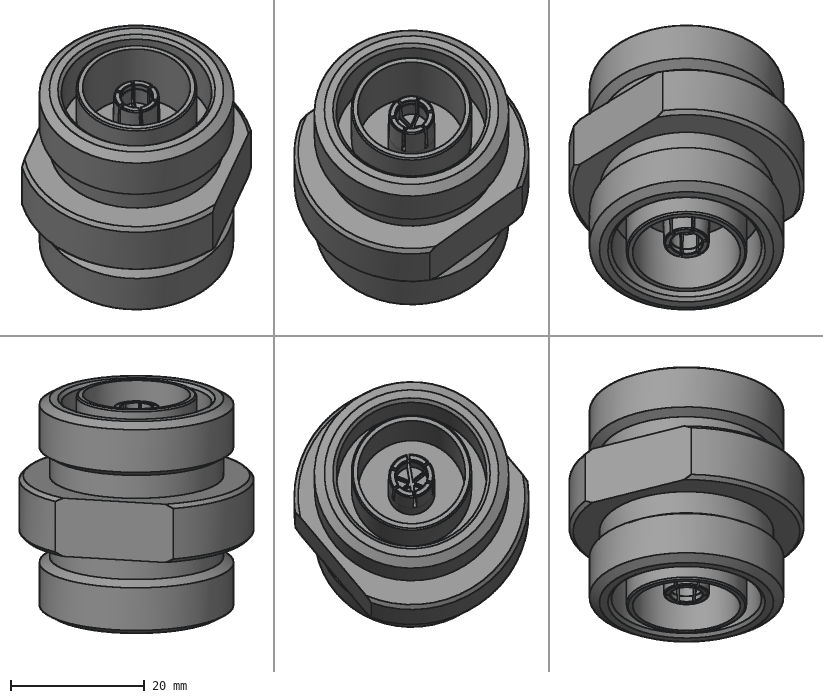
import cadquery as cq

total_height = 34.0
overall_half = total_height / 2

flange_radius = 17.5
flange_height = 9.0
flange_chamfer = 0.6
across_flats = 30.0

neck_radius = 13.0
collar_radius = 14.5
collar_top = 16.38
collar_bottom = 8.05
collar_bevel_height = 0.88

socket_radius = 11.2
socket_mouth_radius = 11.72
socket_mouth_depth = 0.52
socket_depth = 7.98
socket_floor = collar_top - socket_depth

sleeve_outer_radius = 8.95
sleeve_inner_radius = 8.0
sleeve_chamfer = 0.25
sleeve_depth = 10.5
sleeve_floor = overall_half - sleeve_depth

contact_base_radius = 3.5
contact_tip_radius = 3.35
contact_face_radius = 3.15
contact_top = 15.15
contact_chamfer_height = 0.18
bore_land_radius = 2.38
bore_land_depth = 1.0
bore_mouth_chamfer = 0.1
bore_relief_radius = 2.5
bore_depth = 4.0
slot_tip_width = 0.4
slot_floor_width = 0.52
slot_depth = 5.0
slot_count = 3


def cylinder(radius, bottom, top):
    return cq.Workplane("XY").workplane(offset=bottom).circle(radius).extrude(top - bottom)


def make_flange():
    disc = cylinder(flange_radius, -flange_height / 2, flange_height / 2)
    disc = disc.faces("|Z").chamfer(flange_chamfer)
    flats = cq.Workplane("XY").box(across_flats, 2 * flange_radius, flange_height)
    return disc.intersect(flats)


def revolve_profile(points):
    """Turn a closed (radius, height) outline about the Z axis."""
    return cq.Workplane("XZ").polyline(points).close().revolve(360, (0, 0, 0), (0, 1, 0))


def make_shell():
    """Neck and bevelled collar, hollowed by the socket with its flared mouth."""
    return revolve_profile([
        (0, 0),
        (neck_radius, 0),
        (neck_radius, collar_bottom),
        (collar_radius, collar_bottom + collar_bevel_height),
        (collar_radius, collar_top - collar_bevel_height),
        (neck_radius, collar_top),
        (socket_mouth_radius, collar_top),
        (socket_radius, collar_top - socket_mouth_depth),
        (socket_radius, socket_floor),
        (0, socket_floor),
    ])


def make_sleeve():
    sleeve = cylinder(sleeve_outer_radius, socket_floor, overall_half)
    return sleeve.faces(">Z").chamfer(sleeve_chamfer)


def make_contact():
    """Hollow pin split into tapered spring fingers by slots across its full width."""
    slot_floor = contact_top - slot_depth
    land_bottom = contact_top - bore_land_depth
    bore_floor = contact_top - bore_depth
    pin = revolve_profile([
        (0, sleeve_floor),
        (contact_base_radius, sleeve_floor),
        (contact_base_radius, slot_floor),
        (contact_tip_radius, contact_top - contact_chamfer_height),
        (contact_face_radius, contact_top),
        (bore_land_radius + bore_mouth_chamfer, contact_top),
        (bore_land_radius, contact_top - bore_mouth_chamfer),
        (bore_land_radius, land_bottom),
        (bore_relief_radius, land_bottom),
        (bore_relief_radius, bore_floor),
        (0, bore_floor),
    ])
    slot = (
        cq.Workplane("YZ")
        .polyline([
            (-slot_floor_width / 2, slot_floor),
            (slot_floor_width / 2, slot_floor),
            (slot_tip_width / 2, contact_top),
            (-slot_tip_width / 2, contact_top),
        ])
        .close()
        .extrude(contact_base_radius, both=True)
    )
    for index in range(slot_count):
        pin = pin.cut(slot.rotate((0, 0, 0), (0, 0, 1), index * 180 / slot_count))
    return pin


def make_upper_end():
    cavity = cylinder(sleeve_inner_radius, sleeve_floor, overall_half)
    return make_shell().union(make_sleeve()).cut(cavity).union(make_contact())


upper_end = make_upper_end()
lower_end = upper_end.mirror("XY")
result = make_flange().union(upper_end).union(lower_end)